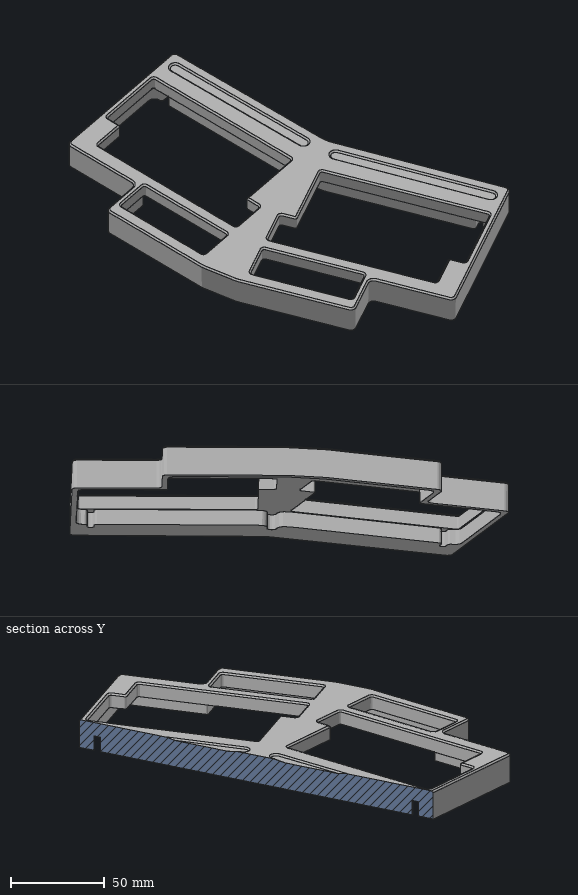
import cadquery as cq
import math

overall_width = 237.5
height = 16.5
wing_angle = 10.0
rim_chamfer = 1.0
bend_radius = 20.0
outer_radius = 3.0
window_radius = 1.5
window_step_radius = 1.02

wing_back = 48.0
wing_front = -41.8
palm_end = 65.8
palm_front = -67.0
front_flat = 10.5
centre_back_y = 49.6

key_step = 9.5
key_left = 4.0
key_right = key_left + 105.7
key_front = -32.3
key_back = key_front + 58.2
inner_step_v = key_front + 20.0
outer_step_v = key_front + 19.2

thumb_left = key_left
thumb_right = thumb_left + 58.0
thumb_front = -59.4
thumb_back = thumb_front + 20.0

groove_u = 61.3
groove_v = 39.5
groove_length = 95.5
groove_width = 7.1
groove_depth = 1.0

cavity_height = 8.3
cavity_wall = 3.0
cavity_back = key_back + 1.2
cavity_radius = 4.0
cavity_step_radius = 1.0
cavity_back_flat = 9.7
cavity_bend_radius = 29.5

corner_notch_u = 102.8
corner_notch_width = 3.5
corner_notch_depth = 6.0
corner_notch_mouth = 2.0
centre_notch_width = 5.2
centre_notch_depth = 7.1
centre_notch_mouth = 4.0

cos_a = math.cos(math.radians(wing_angle))
sin_a = math.sin(math.radians(wing_angle))

wing_end = outer_radius + (overall_width / 2 - outer_radius + (wing_front + outer_radius) * sin_a) / cos_a


def turned(u, v):
    """Point of the right half, from the turned frame to X and Y."""
    return (u * cos_a - v * sin_a, u * sin_a + v * cos_a)


def on_wing_line(x, v):
    """Point at a given X on the line of constant v."""
    return (x, (v + x * sin_a) / cos_a)


def both_sides(points):
    """The points of the right half, followed by their mirror images."""
    return points + [(-x, y) for x, y in reversed(points) if x > 0]


def fillet_uprights(solid, points, radius):
    """Round the vertical edges that stand at the given points."""
    for x, y in points:
        nearest = cq.NearestToPointSelector((x, y, solid.val().Center().z))
        solid = solid.edges("|Z").edges(nearest).fillet(radius)
    return solid


def winged_block(block_height, inset, back, back_bend, back_radius, corner_radius, step_radius):
    """Symmetric block with two turned wings; its front and ends are inset from the outline.

    The back edge runs from v = back at the wing end to the point back_bend near the centre line.
    """
    front_bend = on_wing_line(front_flat, palm_front + inset)
    palm_corner = turned(palm_end - inset, palm_front + inset)
    step_corner = turned(palm_end - inset, wing_front + inset)
    wing_corners = [turned(wing_end - inset, wing_front + inset), turned(wing_end - inset, back)]
    outline = both_sides([front_bend, palm_corner, step_corner] + wing_corners + [back_bend])
    block = cq.Workplane("XY").polyline(outline).close().extrude(block_height)
    block = fillet_uprights(block, both_sides([palm_corner] + wing_corners), corner_radius)
    block = fillet_uprights(block, both_sides([step_corner]), step_radius)
    block = fillet_uprights(block, both_sides([front_bend]), bend_radius)
    return fillet_uprights(block, both_sides([back_bend]), back_radius)


def window_cutter(corners, step_corners):
    """Through cutter for one window of the right half."""
    outside = [turned(u, v) for u, v in corners if (u, v) not in step_corners]
    steps = [turned(u, v) for u, v in step_corners]
    outline = [turned(u, v) for u, v in corners]
    cutter = cq.Workplane("XY").polyline(outline).close().extrude(height)
    cutter = fillet_uprights(cutter, outside, window_radius)
    return fillet_uprights(cutter, steps, window_step_radius)


def key_window_cutter():
    inner_step = (key_left + key_step, inner_step_v)
    outer_step = (key_right - key_step, outer_step_v)
    corners = [
        (key_left, key_front),
        (key_right - key_step, key_front),
        outer_step,
        (key_right, outer_step_v),
        (key_right, key_back),
        (key_left + key_step, key_back),
        inner_step,
        (key_left, inner_step_v),
    ]
    return window_cutter(corners, [inner_step, outer_step])


def thumb_window_cutter():
    corners = [
        (thumb_left, thumb_front),
        (thumb_right, thumb_front),
        (thumb_right, thumb_back),
        (thumb_left, thumb_back),
    ]
    return window_cutter(corners, [])


def groove_cutter():
    """Slot parallel to the back edge; it widens at 45 degrees from its floor to the top face."""
    floor_length = groove_length - 2 * groove_depth
    floor_width = groove_width - 2 * groove_depth
    end_x, end_y = turned(wing_end, wing_back)
    back_edge_angle = math.degrees(math.atan2(end_y - centre_back_y, end_x))
    floor = cq.Workplane("XY").workplane(offset=height - groove_depth)
    floor = floor.center(*turned(groove_u, groove_v)).slot2D(floor_length, floor_width, back_edge_angle)
    return floor.extrude(groove_depth, taper=-45)


def notch_cutter(width, depth):
    """Round-ended notch along +Y, starting inside the cavity and reaching depth past Y = 0."""
    length = 2 * depth + width
    slot = cq.Workplane("XY").center(0, depth - length / 2).slot2D(length, width, 90)
    return slot.extrude(cavity_height)


def cavity_cutter():
    back_bend = on_wing_line(cavity_back_flat, cavity_back)
    centre_y = back_bend[1]
    cavity = winged_block(
        cavity_height,
        cavity_wall,
        cavity_back,
        back_bend,
        cavity_bend_radius,
        cavity_radius,
        cavity_step_radius,
    )

    corner_notch = notch_cutter(corner_notch_width, corner_notch_depth)
    corner_notch = corner_notch.translate((corner_notch_u, cavity_back, 0))
    corner_notch = corner_notch.rotate((0, 0, 0), (0, 0, 1), wing_angle)
    centre_notch = notch_cutter(centre_notch_width, centre_notch_depth).translate((0, centre_y, 0))
    cavity = cavity.union(corner_notch).union(corner_notch.mirror("YZ")).union(centre_notch)

    corner_mouth = [
        turned(corner_notch_u - corner_notch_width / 2, cavity_back),
        turned(corner_notch_u + corner_notch_width / 2, cavity_back),
    ]
    centre_mouth = [(centre_notch_width / 2, centre_y)]
    cavity = fillet_uprights(cavity, both_sides(corner_mouth), corner_notch_mouth)
    return fillet_uprights(cavity, both_sides(centre_mouth), centre_notch_mouth)


result = winged_block(
    height, 0, wing_back, (0, centre_back_y), bend_radius, outer_radius, outer_radius)
for cutter in (key_window_cutter(), thumb_window_cutter()):
    result = result.cut(cutter).cut(cutter.mirror("YZ"))
result = result.faces(">Z").edges().chamfer(rim_chamfer)

groove = groove_cutter()
result = result.cut(groove).cut(groove.mirror("YZ"))
result = result.cut(cavity_cutter())